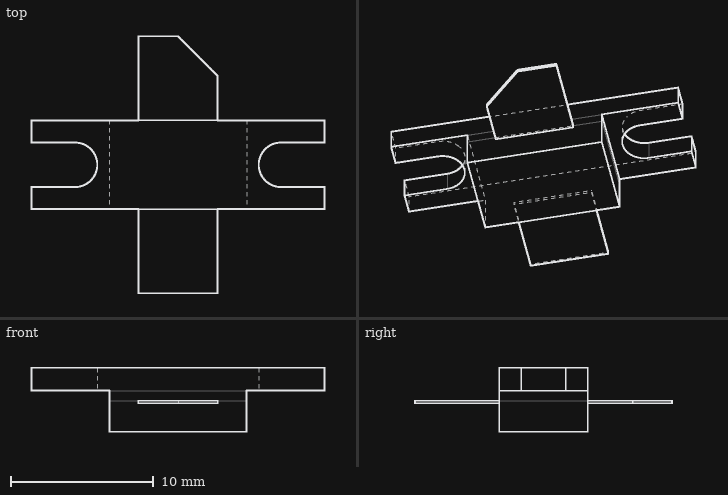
import cadquery as cq

flange_length = 20.5
flange_width = 6.2
flange_thickness = 1.6
slot_width = 3.1
slot_depth = 4.6

body_length = 9.6
layer_thickness = 0.7
total_height = 4.5

lead_width = 5.55
lead_span = 18.0
lead_thickness = 0.2
lead_corner_cut = lead_width / 2

flange_bottom = total_height - flange_thickness
lead_top = flange_bottom - layer_thickness


def make_flange():
    """Plate with a round-ended slot open at each X end."""
    plate = cq.Workplane("XY").workplane(offset=flange_bottom).rect(flange_length, flange_width)
    plate = plate.extrude(flange_thickness)
    slots = (
        cq.Workplane("XY")
        .workplane(offset=flange_bottom)
        .pushPoints([(-flange_length / 2, 0), (flange_length / 2, 0)])
        .slot2D(2 * slot_depth, slot_width)
        .extrude(flange_thickness)
    )
    return plate.cut(slots)


def make_layer():
    """Upper layer of the body, joining the cap to the flange."""
    layer = cq.Workplane("XY").workplane(offset=lead_top).rect(body_length, flange_width)
    return layer.extrude(layer_thickness)


def make_cap():
    """Rectangular cap with its top level with the top of the leads."""
    return cq.Workplane("XY").rect(body_length, flange_width).extrude(lead_top)


def make_leads():
    """Thin strip through the body, with one corner of its +Y end cut off."""
    half_width = lead_width / 2
    half_span = lead_span / 2
    return (
        cq.Workplane("XY")
        .workplane(offset=lead_top)
        .moveTo(-half_width, -half_span)
        .lineTo(half_width, -half_span)
        .lineTo(half_width, half_span - lead_corner_cut)
        .lineTo(half_width - lead_corner_cut, half_span)
        .lineTo(-half_width, half_span)
        .close()
        .extrude(-lead_thickness)
    )


result = make_flange()
for piece in (make_layer(), make_cap(), make_leads()):
    result = result.union(piece, clean=False)